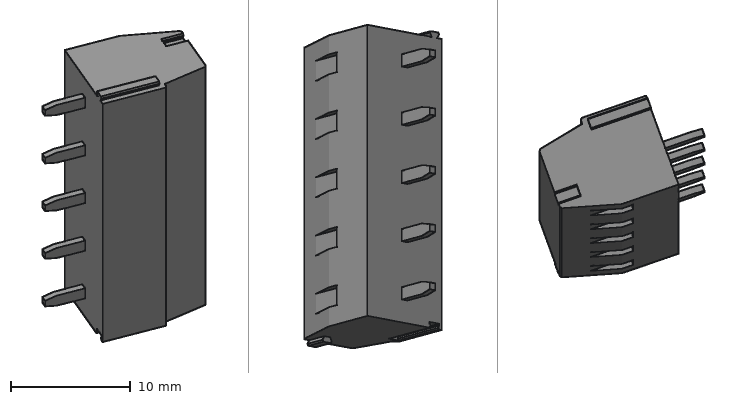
import cadquery as cq


body_width = 8.1
body_depth = 10.0
body_height = 25.0
left_wall_depth = 5.02
top_left_x = 1.38
top_right_x = 6.73
step_inner_x = 7.62
step_depth = 5.85
corner_chamfer = 0.13

pole_count = 5
pole_pitch = body_height / pole_count
pole_heights = [(i - (pole_count - 1) / 2) * pole_pitch for i in range(pole_count)]

pin_length = 3.65
pin_thickness = 0.6
pin_width = 1.07
pin_tip_width = 0.6
pin_taper_length = 1.05
pin_x = body_width / 2

window_start_y = 4.03
window_end_y = 7.57
window_height = 1.72
window_depth = (window_end_y - left_wall_depth) / (body_depth - left_wall_depth) * top_left_x

joint_height = 0.5
rail_neck_width = 0.62
joint_full_width = 1.01
rail_lip_height = 0.15
rail_lip_inset = 0.1
groove_neck_width = 0.8
groove_mouth_width = 1.07
groove_lead_in = 0.13

pin_side_joint_x = 7.3
pin_side_joint_length = 5.3
far_side_joint_x = 2.31
far_side_joint_length = 1.98


def prism_along_y(points, start_y, length):
    """Extrude an outline given in (x, z) from start_y toward +Y."""
    plane = cq.Plane(origin=(0, start_y, 0), xDir=(1, 0, 0), normal=(0, -1, 0))
    return cq.Workplane(plane).polyline(points).close().extrude(-length)


def mirrored_outline(center_x, side):
    """Close a right-hand side of (half width, z) points with its mirror image."""
    right = [(center_x + half, z) for half, z in side]
    left = [(center_x - half, z) for half, z in reversed(side)]
    return right + left


def make_body():
    outline = [
        (0, 0),
        (body_width, 0),
        (body_width, step_depth),
        (step_inner_x, step_depth),
        (top_right_x, body_depth),
        (top_left_x, body_depth),
        (0, left_wall_depth),
    ]
    body = cq.Workplane("XY").polyline(outline).close().extrude(body_height / 2, both=True)
    chamfered_corners = [
        (body_width, step_depth),
        (top_right_x, body_depth),
        (top_left_x, body_depth),
    ]
    for x, y in chamfered_corners:
        edge = cq.selectors.NearestToPointSelector((x, y, 0))
        body = body.edges("|Z").edges(edge).chamfer(corner_chamfer)
    return body


def make_window(z):
    length = window_end_y - window_start_y
    window = cq.Workplane("XY").box(window_depth, length, window_height, centered=(False, False, True))
    return window.translate((0, window_start_y, z))


def make_pin(z):
    taper_y = pin_taper_length - pin_length
    outline = [
        (0, pin_width / 2),
        (taper_y, pin_width / 2),
        (-pin_length, pin_tip_width / 2),
        (-pin_length, -pin_tip_width / 2),
        (taper_y, -pin_width / 2),
        (0, -pin_width / 2),
    ]
    pin = cq.Workplane("YZ").polyline(outline).close().extrude(pin_thickness / 2, both=True)
    return pin.translate((pin_x, 0, z))


def make_rail(center_x, start_y, length, end):
    """Rail standing on the end face: end is +1 for the top, -1 for the bottom."""
    face_z = end * body_height / 2
    side = [
        (rail_neck_width / 2, face_z),
        (joint_full_width / 2, face_z + end * (joint_height - rail_lip_height)),
        (joint_full_width / 2 - rail_lip_inset, face_z + end * joint_height),
    ]
    return prism_along_y(mirrored_outline(center_x, side), start_y, length)


def make_groove(center_x, start_y, length, end):
    """Cutter for a groove in the end face, with a flared mouth and a wide floor."""
    face_z = end * body_height / 2
    side = [
        (groove_mouth_width / 2, face_z),
        (groove_neck_width / 2, face_z - end * groove_lead_in),
        (joint_full_width / 2, face_z - end * (joint_height - rail_lip_height)),
        (joint_full_width / 2, face_z - end * joint_height),
    ]
    return prism_along_y(mirrored_outline(center_x, side), start_y, length)


pin_side_joint = (pin_side_joint_x, 0, pin_side_joint_length)
far_side_joint = (far_side_joint_x, body_depth - far_side_joint_length, far_side_joint_length)

result = make_body()
for pole_z in pole_heights:
    result = result.cut(make_window(pole_z)).union(make_pin(pole_z))
result = result.union(make_rail(*pin_side_joint, end=1)).cut(make_groove(*pin_side_joint, end=-1))
result = result.union(make_rail(*far_side_joint, end=-1)).cut(make_groove(*far_side_joint, end=1))